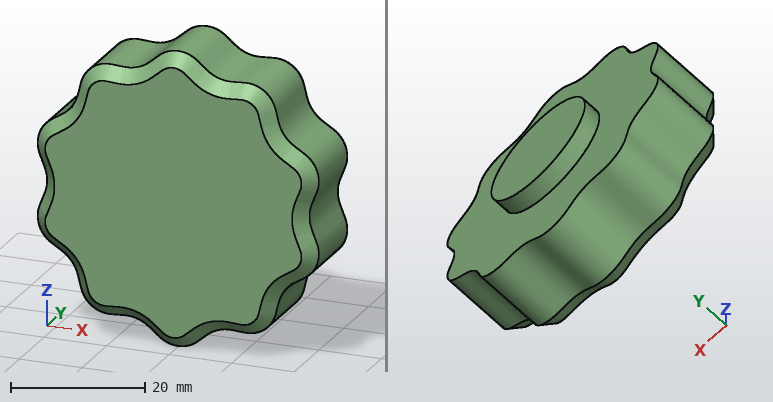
import cadquery as cq
import math

lobe_count = 10
grip_thickness = 13.5
front_chamfer = 2.0

outer_radius = 23.42
lobe_arc_radius = 4.72
valley_floor_radius = 21.0
valley_arc_radius = 5.7

boss_diameter = 20.0
boss_height = 3.0

lobe_centre_radius = outer_radius - lobe_arc_radius
valley_centre_radius = valley_floor_radius + valley_arc_radius
lobe_pitch = 2 * math.pi / lobe_count
half_pitch = lobe_pitch / 2
first_lobe_angle = math.pi / 2


def polar(radius, angle):
    return radius * math.cos(angle), radius * math.sin(angle)


def flat_ends():
    """Ends of the flat after a lobe at angle 0, as (radius, angle) on the lobe and on the valley."""
    lobe_x = lobe_centre_radius
    valley_x, valley_y = polar(valley_centre_radius, half_pitch)
    centre_distance = math.hypot(valley_x - lobe_x, valley_y)
    centre_direction = math.atan2(valley_y, valley_x - lobe_x)
    lean = math.acos((lobe_arc_radius + valley_arc_radius) / centre_distance)
    normal = centre_direction - lean
    on_lobe_x, on_lobe_y = polar(lobe_arc_radius, normal)
    on_valley_x, on_valley_y = polar(valley_arc_radius, normal)
    lobe_end = (lobe_x + on_lobe_x, on_lobe_y)
    valley_end = (valley_x - on_valley_x, valley_y - on_valley_y)
    return [(math.hypot(x, y), math.atan2(y, x)) for x, y in (lobe_end, valley_end)]


def grip_outline():
    """Closed lobed outline, drawn lobe by lobe around the Y axis."""
    (lobe_end_radius, lobe_end_angle), (valley_end_radius, valley_end_angle) = flat_ends()
    start = polar(lobe_end_radius, first_lobe_angle - lobe_end_angle)
    outline = cq.Workplane("XZ").moveTo(*start)
    for index in range(lobe_count):
        lobe = first_lobe_angle + index * lobe_pitch
        next_lobe = lobe + lobe_pitch
        outline = outline.threePointArc(
            polar(outer_radius, lobe),
            polar(lobe_end_radius, lobe + lobe_end_angle),
        )
        outline = outline.lineTo(*polar(valley_end_radius, lobe + valley_end_angle))
        outline = outline.threePointArc(
            polar(valley_floor_radius, lobe + half_pitch),
            polar(valley_end_radius, next_lobe - valley_end_angle),
        )
        if index < lobe_count - 1:
            outline = outline.lineTo(*polar(lobe_end_radius, next_lobe - lobe_end_angle))
    return outline.close()


def grip():
    body = grip_outline().extrude(-grip_thickness)
    return body.faces("<Y").edges().chamfer(front_chamfer)


def boss():
    back_plane = cq.Workplane("XZ", origin=(0, grip_thickness, 0))
    return back_plane.circle(boss_diameter / 2).extrude(-boss_height)


result = grip().union(boss())